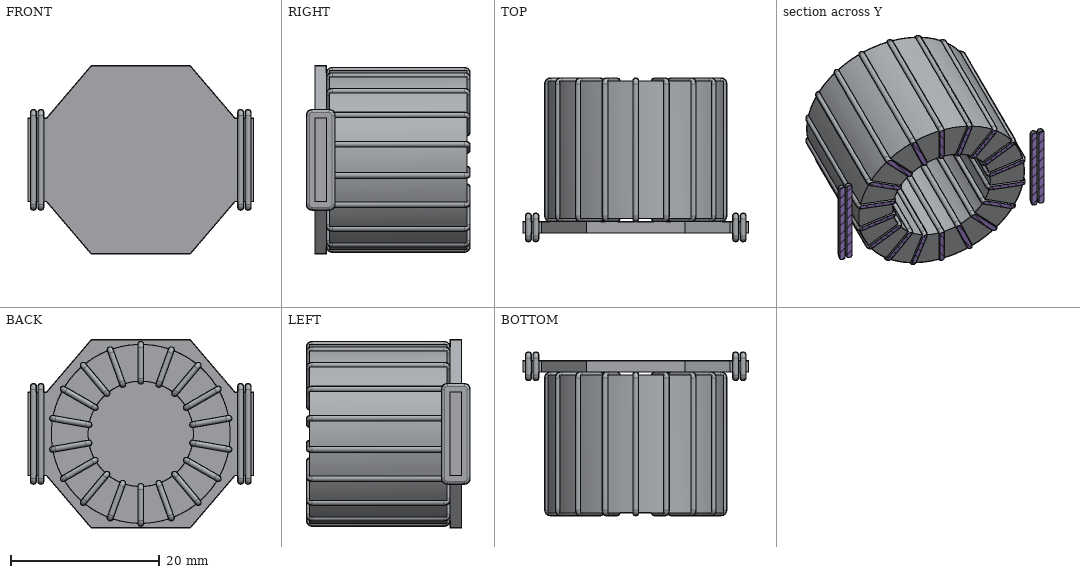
import cadquery as cq

wire_radius = 0.4

base_span_x = 30.5
octagon_width = 25.4
octagon_flat_x = 13.35
tab_height = 11.3
base_thickness = 1.55

overall_depth = 22.1
terminal_turn_reach = 1.15
terminal_turn_positions = (13.48, 14.5)

core_radius = 12.08
bore_radius = 7.1
turn_count = 18
first_turn_angle = 90

core_front_y = wire_radius
core_back_y = overall_depth - base_thickness - terminal_turn_reach - wire_radius
core_length = core_back_y - core_front_y


def wire_turn(size_x, size_y):
    """Closed rectangular turn of wire in the XY plane with a filled middle.

    The sizes are measured along the wire's centreline, and the bends of the
    centreline have the radius of the wire.
    """
    middle = (
        cq.Workplane("XY")
        .rect(size_x, size_y)
        .extrude(2 * wire_radius)
        .edges("|Z")
        .fillet(wire_radius)
    )
    centreline = middle.faces("<Z").wires()
    outer_rim = (
        cq.Workplane("XZ", origin=(size_x / 2, 0, 0))
        .moveTo(0, -wire_radius)
        .threePointArc((wire_radius, 0), (0, wire_radius))
        .close()
        .sweep(centreline)
    )
    return middle.translate((0, 0, -wire_radius)).union(outer_rim)


def make_base():
    half_width = octagon_width / 2
    half_flat = octagon_flat_x / 2
    half_tab = tab_height / 2
    octagon = (
        cq.Workplane("XZ")
        .polyline([
            (half_width, half_tab),
            (half_flat, half_width),
            (-half_flat, half_width),
            (-half_width, half_tab),
            (-half_width, -half_tab),
            (-half_flat, -half_width),
            (half_flat, -half_width),
            (half_width, -half_tab),
        ])
        .close()
        .extrude(base_thickness)
    )
    tabs = cq.Workplane("XZ").rect(base_span_x, tab_height).extrude(base_thickness)
    base = octagon.union(tabs)

    tab_allowance = 2 * (terminal_turn_reach - wire_radius)
    turn = wire_turn(tab_height + tab_allowance, base_thickness + tab_allowance)
    turn = turn.rotate((0, 0, 0), (0, 1, 0), 90).translate((0, -base_thickness / 2, 0))
    for side in (-1, 1):
        for position in terminal_turn_positions:
            base = base.union(turn.translate((side * position, 0, 0)))
    return base


def make_wound_core():
    core = (
        cq.Workplane("XZ", origin=(0, core_back_y, 0))
        .circle(core_radius)
        .circle(bore_radius)
        .extrude(core_length)
    )
    turn = wire_turn(core_radius - bore_radius, core_length).translate(
        ((core_radius + bore_radius) / 2, (core_front_y + core_back_y) / 2, 0)
    )
    for index in range(turn_count):
        angle = first_turn_angle + index * 360 / turn_count
        core = core.union(turn.rotate((0, 0, 0), (0, 1, 0), angle))
    return core


base = make_base()
wound_core = make_wound_core()
result = cq.Compound.makeCompound([base.solids().val(), wound_core.solids().val()])